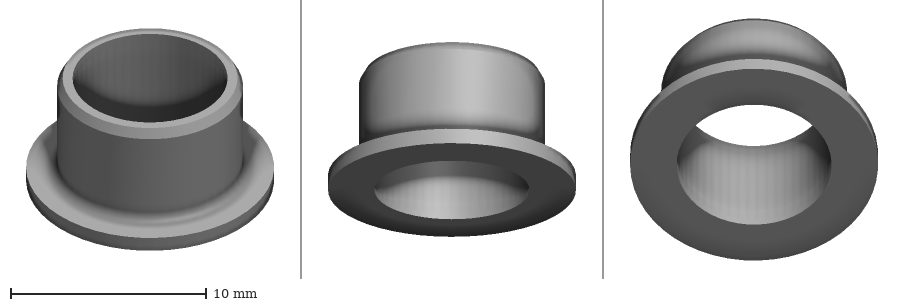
import cadquery as cq
import math

flange_diameter = 12.7
total_height = flange_diameter / 2
sleeve_diameter = 0.75 * flange_diameter
bore_diameter = 7.94
flange_thickness = 0.8
root_fillet_radius = 0.5

chamfer_height = 0.5
chamfer_angle = 30.0
chamfer_width = chamfer_height * math.tan(math.radians(chamfer_angle))

flange_radius = flange_diameter / 2
sleeve_radius = sleeve_diameter / 2
bore_radius = bore_diameter / 2

half_section = (
    cq.Workplane("XZ")
    .moveTo(bore_radius, 0)
    .lineTo(flange_radius, 0)
    .lineTo(flange_radius, flange_thickness)
    .lineTo(sleeve_radius + root_fillet_radius, flange_thickness)
    .radiusArc((sleeve_radius, flange_thickness + root_fillet_radius), root_fillet_radius)
    .lineTo(sleeve_radius, total_height - chamfer_height)
    .lineTo(sleeve_radius - chamfer_width, total_height)
    .lineTo(bore_radius, total_height)
    .close()
)

result = half_section.revolve(360, (0, 0, 0), (0, 1, 0))